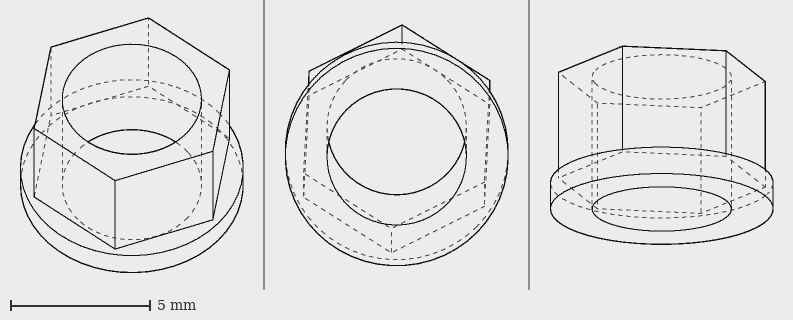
import cadquery as cq

flange_diameter = 8.0
flange_thickness = 1.0
total_height = 5.0
hex_across_corners = 7.5
bore_diameter = 5.0

hex_height = total_height - flange_thickness


def make_flange():
    """Round flange resting on the XY plane."""
    return cq.Workplane("XY").circle(flange_diameter / 2).extrude(flange_thickness)


def add_hex_body(body):
    """Hexagonal body on top of the flange, with two corners on the X axis."""
    return body.faces(">Z").workplane().polygon(6, hex_across_corners).extrude(hex_height)


def cut_bore(body):
    """Round bore along Z through the whole part."""
    return body.faces(">Z").workplane().hole(bore_diameter)


result = cut_bore(add_hex_body(make_flange()))